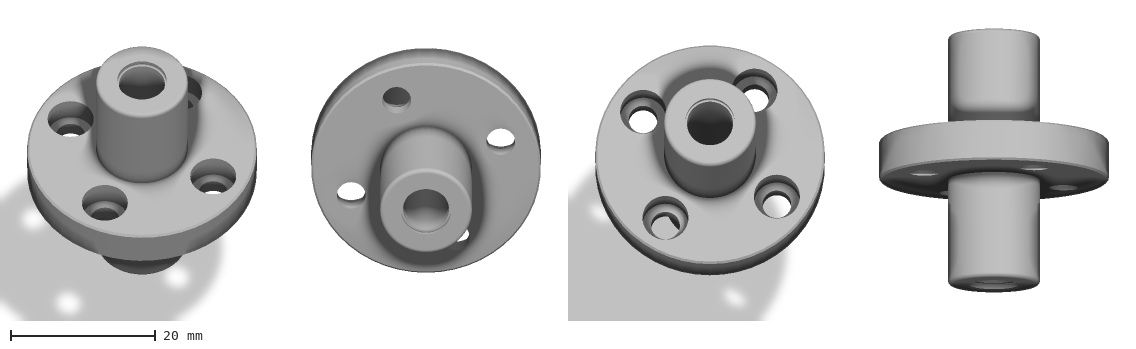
import cadquery as cq

tube_length = 34.92
tube_diameter = 12.7
tube_edge_radius = 0.55

flange_diameter = 31.75
flange_thickness = 5.6
flange_chamfer = 0.28

bore_diameter = 6.35
mouth_diameter = 6.8
mouth_depth = 0.5
groove_diameter = 7.2
groove_width = 0.3

hole_count = 4
hole_circle_diameter = 22.2
hole_diameter = 3.98
counterbore_diameter = 6.35
counterbore_depth = 3.5


def centred_cylinder(diameter, length):
    """Cylinder on the Z axis, centred on the origin."""
    return cq.Workplane("XY").workplane(offset=-length / 2).circle(diameter / 2).extrude(length)


def make_tube():
    return centred_cylinder(tube_diameter, tube_length).faces("|Z").edges().fillet(tube_edge_radius)


def make_flange():
    flange = centred_cylinder(flange_diameter, flange_thickness)
    flange = flange.faces("|Z").edges().chamfer(flange_chamfer)
    return (
        flange.faces(">Z")
        .workplane()
        .polarArray(hole_circle_diameter / 2, 0, 360, hole_count)
        .cboreHole(hole_diameter, counterbore_diameter, counterbore_depth)
    )


def make_bore():
    """Solid of the through bore with both of its stepped ends."""
    bore = centred_cylinder(bore_diameter, tube_length)
    mouth = (
        cq.Workplane("XY")
        .workplane(offset=tube_length / 2)
        .circle(mouth_diameter / 2)
        .extrude(-mouth_depth)
    )
    groove = (
        cq.Workplane("XY")
        .workplane(offset=tube_length / 2 - mouth_depth)
        .circle(groove_diameter / 2)
        .extrude(-groove_width)
    )
    stepped_end = mouth.union(groove)
    return bore.union(stepped_end).union(stepped_end.mirror("XY"))


result = make_tube().union(make_flange()).cut(make_bore())